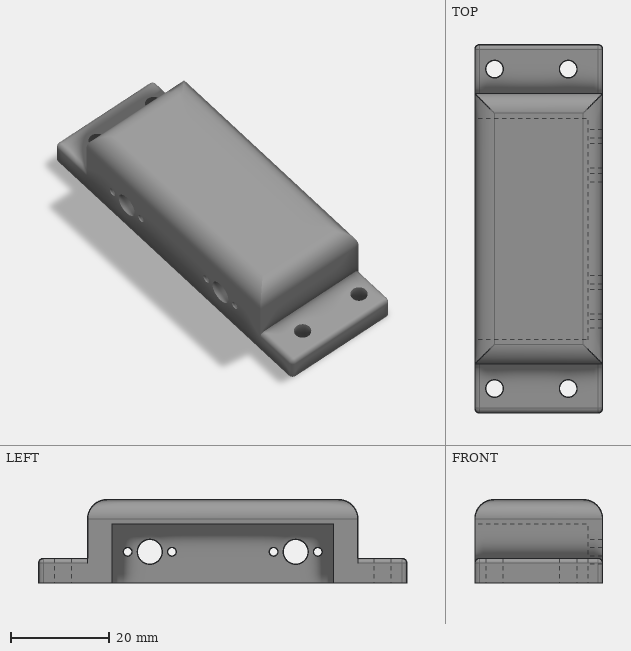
import cadquery as cq

width = 26.0
length = 75
height = 17.0

flange_length = 10.0
flange_height = 5.0
housing_length = length - 2 * flange_length
housing_radius = 4.0
flange_radius = 1.0

end_wall = 5.0
roof_thickness = 5.0
back_wall = 3
cavity_width = width - back_wall
cavity_length = housing_length - 2 * end_wall
cavity_height = height - roof_thickness

mount_diameter = 3.5
mount_spacing = 15
mount_center_x = -back_wall / 2
mount_y = (length - flange_length) / 2

large_diameter = 5.0
small_diameter = 1.7
small_offset = 4.5
group_offset = 14.85
group_z = 6.4


def centered_box(x_size, y_size, z_size):
    """Box centred on the Z axis and standing on Z = 0."""
    return cq.Workplane("XY").box(x_size, y_size, z_size, centered=(True, True, False))


def make_base():
    """Full-length plate with rounded corners and top edges; its ends are the flanges."""
    plate = centered_box(width, length, flange_height)
    return plate.edges("|Z or >Z").fillet(flange_radius)


def make_housing():
    return centered_box(width, housing_length, height).edges(">Z").fillet(housing_radius)


def make_cavity():
    cavity = centered_box(cavity_width, cavity_length, cavity_height)
    return cavity.translate((-back_wall / 2, 0, 0))


def make_mounting_holes():
    centers = [
        (mount_center_x + x_side * mount_spacing / 2, y_side * mount_y)
        for x_side in (-1, 1)
        for y_side in (-1, 1)
    ]
    return cq.Workplane("XY").pushPoints(centers).circle(mount_diameter / 2).extrude(flange_height)


def make_wall_holes(diameter, y_positions):
    """Cylinders along X through the back wall."""
    centers = [(y, group_z) for y in y_positions]
    wall_face = cq.Workplane("YZ").workplane(offset=width / 2 - back_wall)
    return wall_face.pushPoints(centers).circle(diameter / 2).extrude(back_wall)


group_centers = [-group_offset, group_offset]
small_centers = [y + shift for y in group_centers for shift in (-small_offset, small_offset)]

result = (
    make_base()
    .union(make_housing())
    .cut(make_cavity())
    .cut(make_mounting_holes())
    .cut(make_wall_holes(large_diameter, group_centers))
    .cut(make_wall_holes(small_diameter, small_centers))
)